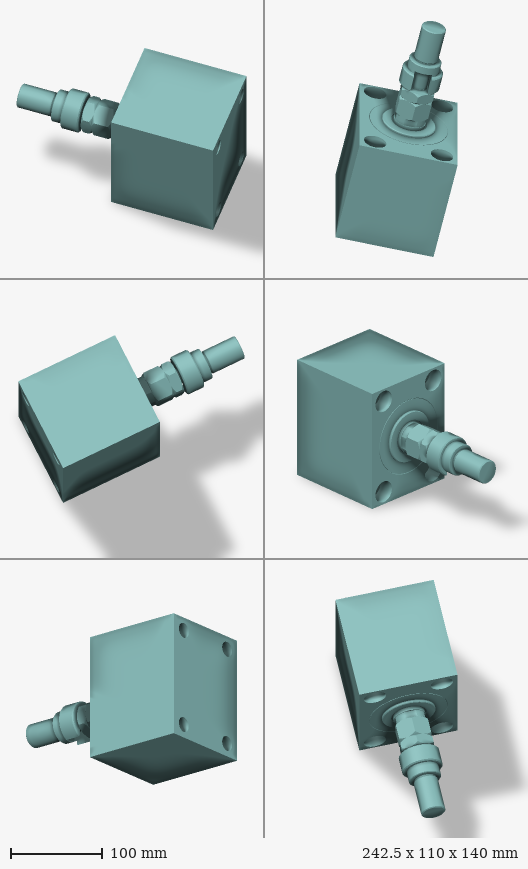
import cadquery as cq
import math

BLOCK_LENGTH = 118.0
BLOCK_WIDTH = 110.0
BLOCK_HEIGHT = 140.0

BOLT_SPACING_Y = 75.0
BOLT_SPACING_Z = 110.0
BOLT_HOLE_DIAMETER = 17.0
COUNTERBORE_DIAMETER = 25.0
COUNTERBORE_DEPTH = 18.0

GLAND_DIAMETER = 87.0
GLAND_BORE_CHAMFER = 0.8
CHAMFER_ANGLE = 45.0
GLAND_DEPTH = 20.0
COLLAR_DIAMETER = 60.0
COLLAR_REACH = 3.0
COLLAR_CHAMFER = 0.8
WIPER_DIAMETER = 40.0
WIPER_DEPTH = 1.0

ROD_DIAMETER = 36.0
ROD_REACH = 6.0
NECK_DIAMETER = 35.0
NECK_ACROSS_FLATS = 32.0
NECK_REACH = 14.0

HEX_ACROSS_FLATS = 36.0
LONG_HEX_REACH = 36.0
SHORT_HEX_REACH = 48.3
STUD_SHOULDER_DIAMETER = 18.5
STUD_SHOULDER_REACH = 49.4
STUD_SHANK_DIAMETER = 18.0

COUPLING_START = 50.5
FLANGE_DIAMETER = 45.2
FLANGE_REACH = 70.8
FLANGE_CHAMFER = 1.25
BODY_DIAMETER = 36.0
BODY_REACH = 83.0
BODY_CHAMFER = 0.8
UNDERCUT_DIAMETER = 25.0
UNDERCUT_REACH = 84.8
SHANK_DIAMETER = 27.0
SHANK_REACH = 124.5
SHANK_CHAMFER = 1.0
SLOT_WIDTH = 20.0
SLOT_REACH = 74.0


def cylinder(diameter, start, end):
    """Cylinder on the X axis between two distances in front of the block face."""
    return cq.Workplane("YZ", origin=(-end, 0, 0)).circle(diameter / 2).extrude(end - start)


def chamfered_hexagon(start, end):
    """Hexagonal prism with two corners at +Z and -Z, both ends chamfered at 45 degrees."""
    corner_diameter = HEX_ACROSS_FLATS / math.cos(math.pi / 6)
    chamfer = (corner_diameter - HEX_ACROSS_FLATS) / 2
    prism = (
        cq.Workplane("YZ", origin=(-end, 0, 0))
        .transformed(rotate=(0, 0, 90))
        .polygon(6, corner_diameter)
        .extrude(end - start)
    )
    envelope = cylinder(corner_diameter, start, end).faces("<X or >X").chamfer(chamfer)
    return prism.intersect(envelope)


def make_block():
    """Block with four counterbored bolt holes and a bore for the gland, chamfered at its mouth."""
    block = cq.Workplane("YZ").rect(BLOCK_WIDTH, BLOCK_HEIGHT).extrude(BLOCK_LENGTH)
    block = (
        block.faces("<X")
        .workplane(origin=(0, 0, 0))
        .rarray(BOLT_SPACING_Y, BOLT_SPACING_Z, 2, 2)
        .cboreHole(BOLT_HOLE_DIAMETER, COUNTERBORE_DIAMETER, COUNTERBORE_DEPTH)
    )
    bore = cylinder(GLAND_DIAMETER, -GLAND_DEPTH, 0)
    mouth = (
        cq.Workplane("YZ")
        .circle(GLAND_DIAMETER / 2 + GLAND_BORE_CHAMFER)
        .extrude(GLAND_BORE_CHAMFER, taper=CHAMFER_ANGLE)
    )
    return block.cut(bore).cut(mouth)


def make_gland():
    """Bush flush with the block face, with a raised collar and a recess around the rod."""
    bush = cylinder(GLAND_DIAMETER, -GLAND_DEPTH, 0)
    collar = cylinder(COLLAR_DIAMETER, 0, COLLAR_REACH).faces("<X").chamfer(COLLAR_CHAMFER)
    recess = cylinder(WIPER_DIAMETER, COLLAR_REACH - WIPER_DEPTH, COLLAR_REACH)
    return bush.union(collar).cut(recess).cut(cylinder(ROD_DIAMETER, -GLAND_DEPTH, COLLAR_REACH))


def make_rod():
    """Piston rod with four wrench flats behind its end face."""
    neck_length = NECK_REACH - ROD_REACH
    square = (
        cq.Workplane("YZ", origin=(-NECK_REACH, 0, 0))
        .rect(NECK_ACROSS_FLATS, NECK_ACROSS_FLATS)
        .extrude(neck_length)
    )
    neck = cylinder(NECK_DIAMETER, ROD_REACH, NECK_REACH).intersect(square)
    return cylinder(ROD_DIAMETER, -GLAND_DEPTH, ROD_REACH).union(neck)


def make_stud():
    """Coupling stud: two hexagons and a stepped shank that reaches the end of the coupling slot."""
    long_hex = chamfered_hexagon(NECK_REACH, LONG_HEX_REACH)
    short_hex = chamfered_hexagon(LONG_HEX_REACH, SHORT_HEX_REACH)
    shoulder = cylinder(STUD_SHOULDER_DIAMETER, SHORT_HEX_REACH, STUD_SHOULDER_REACH)
    shank = cylinder(STUD_SHANK_DIAMETER, STUD_SHOULDER_REACH, SLOT_REACH)
    return long_hex.union(short_hex).union(shoulder).union(shank)


def make_coupling():
    """Turned coupling, slotted from below so that it slips over the stud."""
    flange = cylinder(FLANGE_DIAMETER, COUPLING_START, FLANGE_REACH)
    flange = flange.faces("<X or >X").chamfer(FLANGE_CHAMFER)
    body = cylinder(BODY_DIAMETER, FLANGE_REACH, BODY_REACH).faces("<X").chamfer(BODY_CHAMFER)
    undercut = cylinder(UNDERCUT_DIAMETER, BODY_REACH, UNDERCUT_REACH)
    shank = cylinder(SHANK_DIAMETER, UNDERCUT_REACH, SHANK_REACH)
    shank = shank.faces("<X or >X").chamfer(SHANK_CHAMFER)
    slot_length = SLOT_REACH - COUPLING_START
    slot = cylinder(SLOT_WIDTH, COUPLING_START, SLOT_REACH).union(
        cq.Workplane("XY")
        .box(slot_length, SLOT_WIDTH, FLANGE_DIAMETER, centered=(False, True, False))
        .translate((-SLOT_REACH, 0, -FLANGE_DIAMETER))
    )
    return flange.union(body).union(undercut).union(shank).cut(slot)


block = make_block()
gland = make_gland()
rod = make_rod()
stud = make_stud()
coupling = make_coupling()

result = cq.Compound.makeCompound([block.val(), gland.val(), rod.val(), stud.val(), coupling.val()])